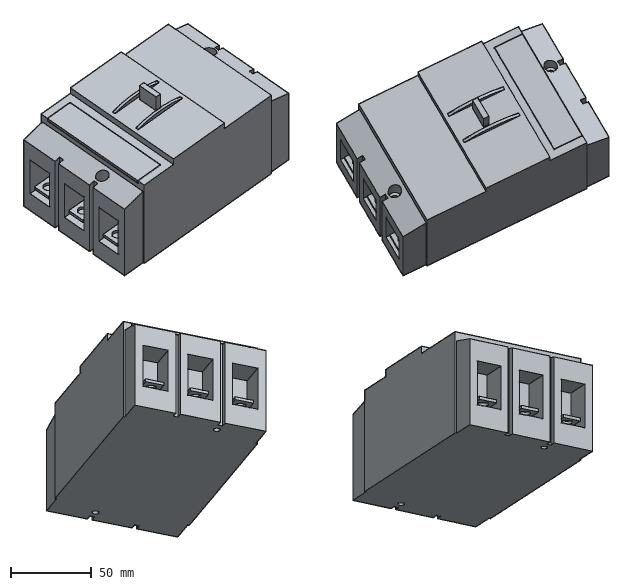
import cadquery as cq
case_width = 90.0
case_length = 112.4
shelf_height = 67.9
boss_height = 72.6
boss_length = 45.0
boss_center_y = -7.8

overall_length = 145.0
end_width = 88.0
end_inner_height = 61.8
end_outer_height = 57.5

pole_pitch = 30.0
pole_count = 3
groove_width = 3.0
groove_depth = 3.9
pocket_width = 16.8
pocket_bottom = 14.6
pocket_top = 43.8
pocket_depth = 17.4

tongue_width = 12.2
tongue_bottom = 19.1
tongue_thickness = 2.0
tongue_setback = 1.5
tongue_hole_diameter = 6.5
tongue_hole_setback = 7.5

mount_hole_diameter = 4.2
mount_bore_diameter = 8.3
mount_bore_floor = 49.3
mount_y = 62.8

label_width = 78.6
label_length = 19.9
label_thickness = 1.9
label_clearance = 0.25

toggle_width = 14.5
toggle_length = 3.8
toggle_top = 84.5
toggle_center_y = -5.5

rib_width = 2.0
rib_length = 39.2
rib_rise = 3.0
rib_end_rise = 0.3
rib_center_y = -7.7
rib_offset_x = 10.2

case_end = case_length / 2
overall_end = overall_length / 2
pole_xs = [(i - (pole_count - 1) / 2) * pole_pitch for i in range(pole_count)]
groove_xs = [x + pole_pitch / 2 for x in pole_xs[:-1]]


def block(x_size, y_min, y_max, z_min, z_max, x_center=0):
    """Box centred on x_center in X, between the given Y and Z limits."""
    return (
        cq.Workplane("XY")
        .box(x_size, y_max - y_min, z_max - z_min, centered=(True, False, False))
        .translate((x_center, y_min, z_min))
    )


def cylinder(diameter, x, y, z_min, z_max):
    """Upright cylinder between two heights."""
    return cq.Workplane("XY", origin=(x, y, z_min)).circle(diameter / 2).extrude(z_max - z_min)


def make_shell():
    """Middle case with its raised boss and the two sloping ends."""
    ends = (
        cq.Workplane("YZ")
        .polyline([
            (-overall_end, 0),
            (-overall_end, end_outer_height),
            (-case_end, end_inner_height),
            (case_end, end_inner_height),
            (overall_end, end_outer_height),
            (overall_end, 0),
        ])
        .close()
        .extrude(end_width / 2, both=True)
    )
    middle = block(case_width, -case_end, case_end, 0, shelf_height)
    boss = block(
        case_width,
        boss_center_y - boss_length / 2,
        boss_center_y + boss_length / 2,
        0,
        boss_height,
    )
    return middle.union(ends).union(boss)


def make_front_terminal_pocket(x):
    """Pocket of one pole at the front end, less the tongue that stays in it."""
    pocket_back = -overall_end + pocket_depth
    tongue_top = tongue_bottom + tongue_thickness
    pocket = block(pocket_width, -overall_end, pocket_back, pocket_bottom, pocket_top, x)
    tongue = block(
        tongue_width, -overall_end + tongue_setback, pocket_back, tongue_bottom, tongue_top, x
    )
    hole_y = -overall_end + tongue_hole_setback
    hole = cylinder(tongue_hole_diameter, x, hole_y, tongue_bottom, tongue_top)
    return pocket.cut(tongue.cut(hole))


def make_mount_hole(x, y):
    """Through hole with a deep counterbore from above."""
    hole = cylinder(mount_hole_diameter, x, y, 0, boss_height)
    bore = cylinder(mount_bore_diameter, x, y, mount_bore_floor, boss_height)
    return hole.union(bore)


def make_label(clearance=0):
    """Label plate, or with a clearance the larger recess it sits in."""
    return block(
        label_width + 2 * clearance,
        -case_end,
        -case_end + label_length + clearance,
        shelf_height - label_thickness - clearance,
        shelf_height,
    )


def make_toggle():
    """Upright handle standing on the boss."""
    return block(
        toggle_width,
        toggle_center_y - toggle_length / 2,
        toggle_center_y + toggle_length / 2,
        boss_height,
        toggle_top,
    )


def make_rib(x):
    """Guide rib whose top is an arc rising from the boss."""
    front = rib_center_y - rib_length / 2
    back = rib_center_y + rib_length / 2
    return (
        cq.Workplane("YZ", origin=(x, 0, 0))
        .moveTo(front, boss_height)
        .lineTo(front, boss_height + rib_end_rise)
        .threePointArc((rib_center_y, boss_height + rib_rise), (back, boss_height + rib_end_rise))
        .lineTo(back, boss_height)
        .close()
        .extrude(rib_width / 2, both=True)
    )


def make_housing():
    """Case with ribs, and with pockets, grooves and mounting holes at both ends."""
    housing = make_shell()
    for turn in (0, 180):
        for x in pole_xs:
            pocket = make_front_terminal_pocket(x)
            housing = housing.cut(pocket.rotate((0, 0, 0), (0, 0, 1), turn))
        for x in groove_xs:
            groove = block(groove_width, -overall_end, -overall_end + groove_depth, 0, boss_height, x)
            housing = housing.cut(groove.rotate((0, 0, 0), (0, 0, 1), turn))
        mount_hole = make_mount_hole(pole_pitch / 2, -mount_y)
        housing = housing.cut(mount_hole.rotate((0, 0, 0), (0, 0, 1), turn))
    housing = housing.cut(make_label(label_clearance))
    for x in (-rib_offset_x, rib_offset_x):
        housing = housing.union(make_rib(x))
    return housing


housing = make_housing()
label = make_label()
toggle = make_toggle()

result = cq.Compound.makeCompound([
    housing.val(),
    label.val(),
    toggle.val(),
])